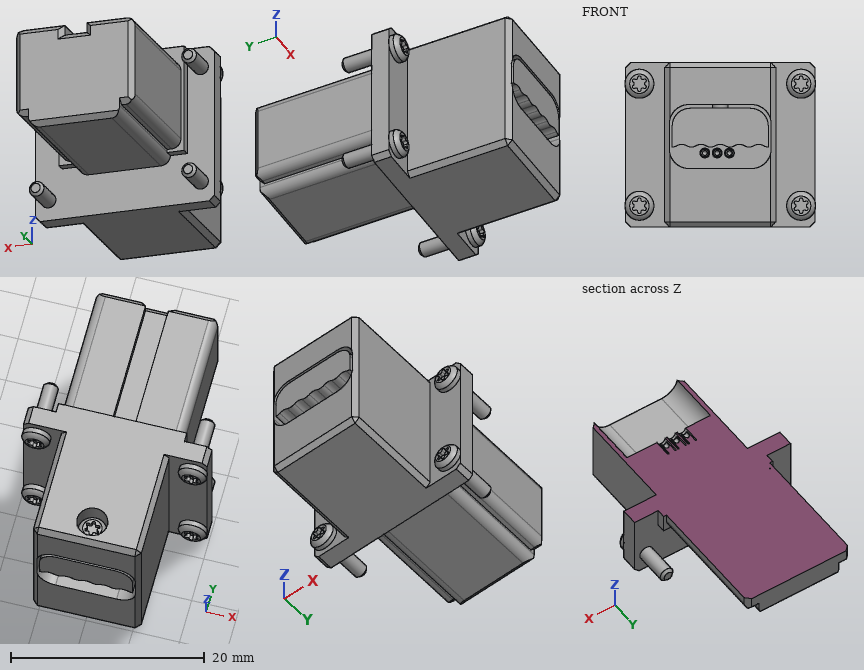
import cadquery as cq
import math


height = 17.0
edge_chamfer = 0.55
flange_width = 19.6
flange_thickness = 2.0
block_width = 11.5
block_front_y = -14.0
shoulder_width = 13.7
shoulder_depth = 1.0
shoulder_bottom_z = -3.0

plug_width = 13.0
plug_top_z = 6.83
plug_bottom_z = -2.67
plug_end_y = 15.67
plug_fillet = 1.0
end_chamfer = 0.57
groove_width = 2.42
groove_depth = 1.06
tongue_width = 10.0
tongue_bottom_z = -4.0
tongue_fillet = 1.05

shank_diameter = 1.6
tip_chamfer = 0.3
head_diameter = 3.0
head_height = 1.05
head_rim_height = 0.54
head_flat_diameter = 2.0
head_bulge = 0.05
lobe_count = 6
recess_tip_radius = 0.8
recess_valley_radius = 0.53
recess_depth = 0.5
flange_screw_x = 8.35
flange_screw_z = 6.3
flange_screw_length = 6.0
clamp_screw_length = 4.0
clamp_screw_y = block_front_y + 2.55
clamp_screw_seat_z = 6.0
clamp_hole_diameter = 3.2

pocket_width = 10.5
pocket_top_z = 4.15
pocket_bottom_z = -2.45
pocket_fillet = 2.0
pocket_depth = 6.0
plate_width = 9.92
plate_top_z = 3.77
plate_fillet = 1.85
plate_thickness = 5.1
wave_middle_z = -0.1
wave_amplitude = 0.135
wave_count = 5

contact_x = (-1.59, -0.32, 0.95)
contact_z = -0.85
contact_hole_diameter = 1.0
contact_hole_depth = 2.0
contact_diameter = 0.78
contact_recess = 0.5
cup_diameter = 0.5
cup_depth = 0.6
cup_cone_depth = 0.2


def block_between(width, y_start, y_end, z_bottom, z_top):
    """Box centred on X = 0 that spans the given Y and Z ranges."""
    box = cq.Workplane("XY").box(width, y_end - y_start, z_top - z_bottom)
    return box.translate((0, (y_start + y_end) / 2, (z_bottom + z_top) / 2))


def make_hood():
    half = height / 2
    flange = block_between(flange_width, -flange_thickness, 0, -half, half)
    flange = flange.edges("|Y").chamfer(edge_chamfer)
    shoulder = block_between(shoulder_width, 0, shoulder_depth, shoulder_bottom_z, half)
    block = block_between(block_width, block_front_y, -flange_thickness, -half, half)
    block = block.edges("|Y or <Y").chamfer(edge_chamfer)
    return flange.union(block).union(shoulder)


def make_plug():
    """Plug body with rounded long edges, and a groove whose walls flare at the open end."""
    body = block_between(plug_width, 0, plug_end_y, plug_bottom_z, plug_top_z)
    rounded = body.edges("|Y").fillet(plug_fillet)
    groove_floor_z = plug_top_z - groove_depth
    groove = block_between(groove_width, 0, plug_end_y, groove_floor_z, plug_top_z)
    bevelled = body.cut(groove).faces(">Y").chamfer(end_chamfer)
    return bevelled.intersect(rounded)


def make_tongue():
    """Key rib under the plug, bevelled along its lower edge at the open end."""
    tongue_top_z = plug_bottom_z + plug_fillet
    tongue = block_between(tongue_width, 0, plug_end_y, tongue_bottom_z, tongue_top_z)
    tongue = tongue.edges("|Y and <Z").fillet(tongue_fillet)
    bevel = (
        cq.Workplane("YZ")
        .moveTo(plug_end_y - end_chamfer, tongue_bottom_z)
        .lineTo(plug_end_y, tongue_bottom_z)
        .lineTo(plug_end_y, tongue_bottom_z + end_chamfer)
        .close()
        .extrude(tongue_width / 2, both=True)
    )
    return tongue.cut(bevel)


def make_recess():
    """Six-lobed driver recess, cut down from the top of a screw head."""
    def point(radius, angle):
        return radius * math.cos(angle), radius * math.sin(angle)

    step = math.pi / lobe_count
    middle_radius = (recess_tip_radius + recess_valley_radius) / 2
    first_angle = math.pi / 2 - step / 2
    outline = cq.Workplane("XY").workplane(offset=head_height - recess_depth)
    outline = outline.moveTo(*point(middle_radius, first_angle))
    for index in range(2 * lobe_count):
        start = first_angle + index * step
        crown_radius = recess_valley_radius if index % 2 else recess_tip_radius
        crown = point(crown_radius, start + step / 2)
        outline = outline.threePointArc(crown, point(middle_radius, start + step))
    return outline.close().extrude(recess_depth)


def make_screw(length):
    """Pan-head screw along Z, with its head resting on Z = 0."""
    shank_radius = shank_diameter / 2
    rim_radius = head_diameter / 2
    flat_radius = head_flat_diameter / 2
    dome_middle = (
        (rim_radius + flat_radius) / 2 + head_bulge,
        (head_rim_height + head_height) / 2 + head_bulge,
    )
    profile = (
        cq.Workplane("YZ")
        .moveTo(0, -length)
        .lineTo(shank_radius - tip_chamfer, -length)
        .lineTo(shank_radius, tip_chamfer - length)
        .lineTo(shank_radius, 0)
        .lineTo(rim_radius, 0)
        .lineTo(rim_radius, head_rim_height)
        .threePointArc(dome_middle, (flat_radius, head_height))
        .lineTo(0, head_height)
        .close()
    )
    return profile.revolve(360, (0, 0, 0), (0, 1, 0)).cut(make_recess())


def make_pocket():
    pocket_end_y = block_front_y + pocket_depth
    pocket = block_between(pocket_width, block_front_y, pocket_end_y, pocket_bottom_z, pocket_top_z)
    return pocket.edges("|Y").fillet(pocket_fillet)


def make_clamp_hole():
    """Blind bore from the top of the block that sinks the head of the clamp screw."""
    bore = cq.Workplane("XY", origin=(0, clamp_screw_y, clamp_screw_seat_z))
    return bore.circle(clamp_hole_diameter / 2).extrude(height / 2 - clamp_screw_seat_z)


def make_clamp_plate():
    """Plate with rounded upper corners and a wavy lower edge that grips the wires."""
    half_width = plate_width / 2
    quarter_wave = plate_width / wave_count / 4
    trough_z = wave_middle_z - wave_amplitude
    crest_z = wave_middle_z + wave_amplitude
    plate = block_between(
        plate_width, block_front_y, block_front_y + plate_thickness, trough_z, plate_top_z
    )
    plate = plate.edges("|Y and >Z").fillet(plate_fillet)

    arc_radius = (quarter_wave**2 + wave_amplitude**2) / (2 * wave_amplitude)
    half_angle = math.asin(quarter_wave / arc_radius) / 2
    flank_x = 2 * quarter_wave - arc_radius * math.sin(half_angle)
    flank_z = trough_z + arc_radius * (1 - math.cos(half_angle))
    for index in range(wave_count):
        centre_x = -half_width + (4 * index + 2) * quarter_wave
        wave = (
            cq.Workplane("XZ", origin=(centre_x, block_front_y, 0))
            .moveTo(-2 * quarter_wave, trough_z)
            .threePointArc((-flank_x, flank_z), (-quarter_wave, wave_middle_z))
            .threePointArc((0, crest_z), (quarter_wave, wave_middle_z))
            .threePointArc((flank_x, flank_z), (2 * quarter_wave, trough_z))
            .close()
            .extrude(-plate_thickness)
        )
        plate = plate.cut(wave)
    return plate


def make_contact():
    """Contact pin along Y with a cone-bottomed solder cup; its hole opens at Y = 0."""
    pin_radius = contact_diameter / 2
    cup_radius = cup_diameter / 2
    cup_end_y = contact_recess + cup_depth
    profile = (
        cq.Workplane("XY")
        .moveTo(0, cup_end_y + cup_cone_depth)
        .lineTo(cup_radius, cup_end_y)
        .lineTo(cup_radius, contact_recess)
        .lineTo(pin_radius, contact_recess)
        .lineTo(pin_radius, contact_hole_depth)
        .lineTo(0, contact_hole_depth)
        .close()
    )
    return profile.revolve(360, (0, 0, 0), (0, 1, 0))


def make_contact_hole():
    return cq.Workplane("XZ").circle(contact_hole_diameter / 2).extrude(-contact_hole_depth)


result = make_hood().union(make_plug()).union(make_tongue())

result = result.cut(make_pocket()).cut(make_clamp_hole())
for x in contact_x:
    place = (x, block_front_y + pocket_depth, contact_z)
    result = result.cut(make_contact_hole().translate(place))
    result = result.union(make_contact().translate(place))

clamp_screw = make_screw(clamp_screw_length)
result = result.union(make_clamp_plate())
result = result.union(clamp_screw.translate((0, clamp_screw_y, clamp_screw_seat_z)))

flange_screw = make_screw(flange_screw_length).rotate((0, 0, 0), (1, 0, 0), 90)
for x in (-flange_screw_x, flange_screw_x):
    for z in (-flange_screw_z, flange_screw_z):
        result = result.union(flange_screw.translate((x, -flange_thickness, z)))